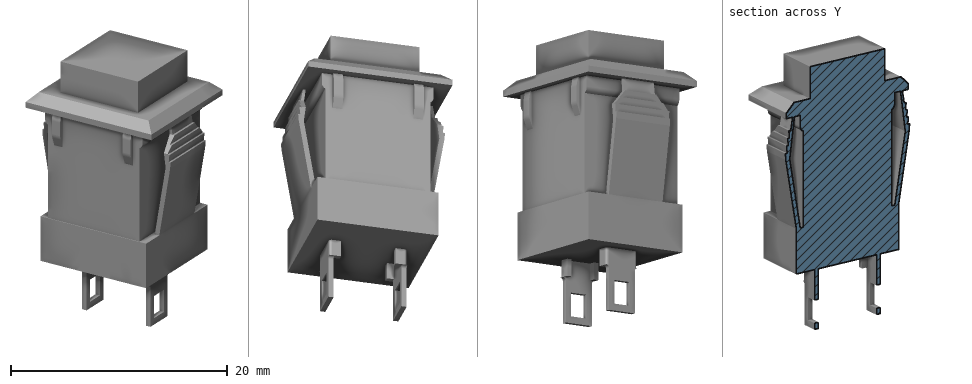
import cadquery as cq

TOTAL_HEIGHT = 26.0
FLANGE_TOP_Z = 22.85
FLANGE_HEIGHT = 1.45
FLANGE_BOTTOM_Z = FLANGE_TOP_Z - FLANGE_HEIGHT
BASE_TOP_Z = 10.37
BASE_BOTTOM_Z = 5.88

BUTTON_SIDE = 8.5
FLANGE_X = 13.8
FLANGE_Y = 12.2
FLANGE_CHAMFER = 0.88

BODY_X = 10.05
BODY_Y = 10.4
BASE_X = 11.6
BASE_Y = 10.55

COLLAR_X = 10.7
COLLAR_STRAIGHT_Z = 20.35
COLLAR_END_Z = 19.8
COLLAR_STEP = (COLLAR_X - BODY_X) / 2
COLLAR_DROP = COLLAR_STRAIGHT_Z - COLLAR_END_Z
COLLAR_ROUND = (COLLAR_DROP**2 + COLLAR_STEP**2) / (2 * COLLAR_STEP)

CLIP_WIDTH = 6.03
CLIP_NECK_WIDTH = 3.45
CLIP_SHOULDER_Z = 18.8
CLIP_OUTER_X = 14.07 / 2
CLIP_THICKNESS = 0.5
CLIP_TOP_OUTER_X = 6.21
CLIP_TOP_INNER_X = 5.95
CLIP_BEND_Z = 17.37
CLIP_BEND_SETBACK = 0.05
TOOTH_TOP_Z = 20.2
TOOTH_PITCH = 0.73
TOOTH_COUNT = 4
TOOTH_ADVANCE = 0.13
TOOTH_UNDERCUT = 0.08
TOOTH_ROOT_X = 6.42

RIB_WIDTH = 0.9
RIB_CENTER_X = 3.86
RIB_OUTER_Y = 5.62
RIB_TOP_Y = 5.45
RIB_ROUND = 1.0
RIB_UPPER_Z = 20.62
RIB_LOWER_Z = 18.98
RIB_BOTTOM_Z = 17.9

TERMINAL_OUTER_X = 3.75
TERMINAL_THICKNESS = 0.5
TERMINAL_WIDTH = 2.9
TERMINAL_CENTER_Y = 0.13
EYE_WIDTH = 1.72
EYE_BOTTOM_Z = 0.65
EYE_HEIGHT = 2.24

CHANNEL_DEPTH = 1.15
CHANNEL_BOTTOM_Z = 4.26
BEND_RADIUS = 0.29
CHANNEL_WIDTH = TERMINAL_WIDTH + 2 * BEND_RADIUS


def block(size_x, size_y, bottom_z, top_z, center=(0, 0)):
    """Upright box between two levels."""
    return (
        cq.Workplane("XY", origin=(*center, bottom_z))
        .rect(size_x, size_y)
        .extrude(top_z - bottom_z)
    )


def with_mirror(solid, plane):
    return solid.union(solid.mirror(plane))


def make_flange():
    flange = block(FLANGE_X, FLANGE_Y, FLANGE_BOTTOM_Z, FLANGE_TOP_Z)
    return flange.faces(">Z").chamfer(FLANGE_CHAMFER)


def make_collar_side():
    """Raised strip on +X whose lower edge rounds back into the housing."""
    return (
        cq.Workplane("XZ")
        .moveTo(0, FLANGE_BOTTOM_Z)
        .lineTo(COLLAR_X / 2, FLANGE_BOTTOM_Z)
        .lineTo(COLLAR_X / 2, COLLAR_STRAIGHT_Z)
        .radiusArc((BODY_X / 2, COLLAR_END_Z), COLLAR_ROUND)
        .lineTo(0, COLLAR_END_Z)
        .close()
        .extrude(BODY_Y / 2, both=True)
    )


def make_clip():
    """Bent spring clip on +X with a toothed outer face and a narrow neck."""
    bend_outer_x = CLIP_OUTER_X - CLIP_BEND_SETBACK
    outline = [(CLIP_TOP_INNER_X, FLANGE_BOTTOM_Z), (CLIP_TOP_OUTER_X, FLANGE_BOTTOM_Z)]
    root = (TOOTH_ROOT_X, TOOTH_TOP_Z)
    for tooth in range(TOOTH_COUNT):
        tip_x = CLIP_OUTER_X - (TOOTH_COUNT - 1 - tooth) * TOOTH_ADVANCE
        tip_z = TOOTH_TOP_Z - tooth * TOOTH_PITCH
        outline += [root, (tip_x, tip_z)]
        root = (tip_x - TOOTH_UNDERCUT, tip_z - TOOTH_PITCH)
    outline += [
        (bend_outer_x, CLIP_BEND_Z),
        (BASE_X / 2, BASE_TOP_Z),
        (BASE_X / 2 - CLIP_THICKNESS, BASE_TOP_Z),
        (bend_outer_x - CLIP_THICKNESS, CLIP_BEND_Z),
    ]
    strip = cq.Workplane("XZ").polyline(outline).close().extrude(CLIP_WIDTH / 2, both=True)

    neck_half = CLIP_NECK_WIDTH / 2
    full_half = CLIP_WIDTH / 2
    face_outline = [
        (-neck_half, FLANGE_BOTTOM_Z),
        (-neck_half, TOOTH_TOP_Z),
        (-full_half, CLIP_SHOULDER_Z),
        (-full_half, BASE_TOP_Z),
        (full_half, BASE_TOP_Z),
        (full_half, CLIP_SHOULDER_Z),
        (neck_half, TOOTH_TOP_Z),
        (neck_half, FLANGE_BOTTOM_Z),
    ]
    face_shape = cq.Workplane("YZ").polyline(face_outline).close().extrude(FLANGE_X)
    return strip.intersect(face_shape)


def make_rib():
    """Snap rib on the -Y side, at the +X end."""
    outline = [
        (0, FLANGE_BOTTOM_Z),
        (-RIB_TOP_Y, FLANGE_BOTTOM_Z),
        (-RIB_OUTER_Y, RIB_UPPER_Z),
        (-RIB_OUTER_Y, RIB_LOWER_Z),
        (-BODY_Y / 2, RIB_BOTTOM_Z),
        (0, RIB_BOTTOM_Z),
    ]
    rib = (
        cq.Workplane("YZ", origin=(RIB_CENTER_X, 0, 0))
        .polyline(outline)
        .close()
        .extrude(RIB_WIDTH / 2, both=True)
    )
    return rib.faces("<Y").edges("|X").fillet(RIB_ROUND)


def make_terminal_root():
    """Channel opening inward: rounded outside corners, coves down to the blade edges."""
    channel_x = TERMINAL_OUTER_X - CHANNEL_DEPTH / 2
    channel = block(CHANNEL_DEPTH, CHANNEL_WIDTH, CHANNEL_BOTTOM_Z, BASE_BOTTOM_Z, (channel_x, 0))
    hollow = block(
        CHANNEL_DEPTH,
        CHANNEL_WIDTH - 2 * TERMINAL_THICKNESS,
        CHANNEL_BOTTOM_Z,
        BASE_BOTTOM_Z,
        (channel_x - TERMINAL_THICKNESS, 0),
    )
    channel = channel.edges("|Z and >X").fillet(BEND_RADIUS).cut(hollow)
    cove = (
        cq.Workplane("YZ", origin=(TERMINAL_OUTER_X - TERMINAL_THICKNESS, 0, 0))
        .moveTo(TERMINAL_WIDTH / 2, CHANNEL_BOTTOM_Z)
        .lineTo(CHANNEL_WIDTH / 2, CHANNEL_BOTTOM_Z)
        .radiusArc((TERMINAL_WIDTH / 2, CHANNEL_BOTTOM_Z - BEND_RADIUS), -BEND_RADIUS)
        .close()
        .extrude(TERMINAL_THICKNESS)
    )
    return channel.union(with_mirror(cove, "XZ"))


def make_terminal():
    """Flat blade with a rectangular solder eye and a channel-shaped root, on +X."""
    blade_center = (TERMINAL_OUTER_X - TERMINAL_THICKNESS / 2, 0)
    blade = block(TERMINAL_THICKNESS, TERMINAL_WIDTH, 0, BASE_BOTTOM_Z, blade_center)
    eye_top_z = EYE_BOTTOM_Z + EYE_HEIGHT
    eye = block(TERMINAL_THICKNESS, EYE_WIDTH, EYE_BOTTOM_Z, eye_top_z, blade_center)
    terminal = blade.cut(eye).union(make_terminal_root())
    return terminal.translate((0, TERMINAL_CENTER_Y, 0))


button = block(BUTTON_SIDE, BUTTON_SIDE, FLANGE_TOP_Z, TOTAL_HEIGHT)
body = block(BODY_X, BODY_Y, BASE_TOP_Z, FLANGE_BOTTOM_Z)
base = block(BASE_X, BASE_Y, BASE_BOTTOM_Z, BASE_TOP_Z)

result = button.union(make_flange()).union(body).union(base)
for side_feature in (make_collar_side(), make_clip(), make_terminal()):
    result = result.union(with_mirror(side_feature, "YZ"))
result = result.union(with_mirror(with_mirror(make_rib(), "YZ"), "XZ"))